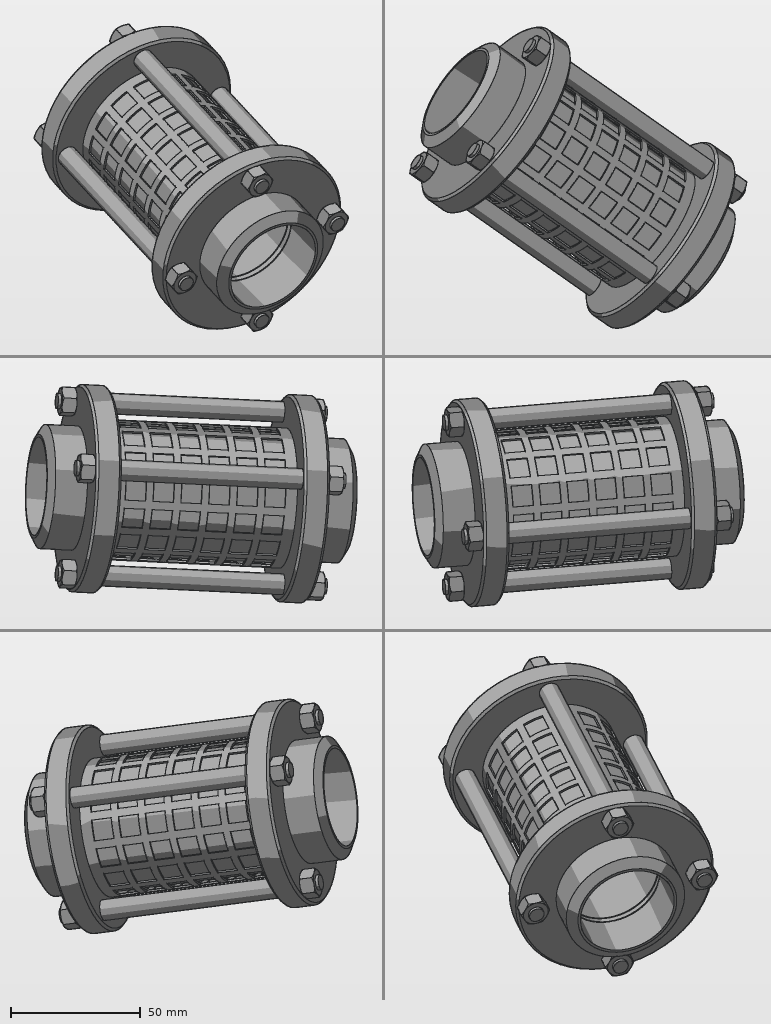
import cadquery as cq
import math

overall_length = 122.0

pipe_diameter = 48.0
pipe_bore = 38.0
pipe_tip_diameter = 40.0
pipe_bevel_length = 2.5

flange_diameter = 80.0
flange_thickness = 10.0
flange_outer_x = 46.0
flange_inner_x = flange_outer_x - flange_thickness
flange_chamfer = 1.0

groove_diameter = 38.7
groove_outer_x = 42.7
groove_inner_x = 40.3

glass_diameter = 50.0
sleeve_bore = 52.5
sleeve_diameter = 54.0
window_size = 8.0
window_columns = 6
window_rows = 15
window_column_pitch = 11.0
window_row_angle = 360 / window_rows
first_row_angle = 0.4

rod_count = 4
rod_circle_radius = 34.0
rod_diameter = 8.0
thread_diameter = 6.0
thread_end_x = 53.0
nut_across_flats = 10.0
nut_height = 5.7
nut_chamfer_angle = 30
nut_across_corners = nut_across_flats / math.cos(math.radians(30))
nut_chamfer_width = (nut_across_corners - nut_across_flats) / 2
nut_chamfer_height = nut_chamfer_width * math.tan(math.radians(nut_chamfer_angle))


def x_cylinder(diameter, x_start, x_end, y=0, z=0):
    """Solid cylinder along X between two X positions."""
    plane = cq.Workplane("YZ", origin=(x_start, y, z))
    return plane.circle(diameter / 2).extrude(x_end - x_start)


def pipe():
    """Solid outline of both pipes, bevelled at the two ends."""
    half_length = overall_length / 2
    bevel_start = half_length - pipe_bevel_length
    outline = [
        (-half_length, 0),
        (-half_length, pipe_tip_diameter / 2),
        (-bevel_start, pipe_diameter / 2),
        (bevel_start, pipe_diameter / 2),
        (half_length, pipe_tip_diameter / 2),
        (half_length, 0),
    ]
    return cq.Workplane("XY").polyline(outline).close().revolve(360, (0, 0, 0), (1, 0, 0))


def flange(x_start):
    """Flange disc with both rims chamfered."""
    disc = x_cylinder(flange_diameter, x_start, x_start + flange_thickness)
    return disc.edges().chamfer(flange_chamfer)


def sleeve():
    """Thin sleeve with a grid of windows cut through its wall."""
    first_column_x = -(window_columns - 1) * window_column_pitch / 2
    window_row = cq.Workplane("XZ")
    for column in range(window_columns):
        window_row = window_row.moveTo(first_column_x + column * window_column_pitch, 0)
        window_row = window_row.rect(window_size, window_size)
    window_row = window_row.extrude(-sleeve_diameter)

    guard = x_cylinder(sleeve_diameter, -flange_inner_x, flange_inner_x)
    guard = guard.cut(x_cylinder(sleeve_bore, -flange_inner_x, flange_inner_x))
    for row in range(window_rows):
        row_angle = first_row_angle + row * window_row_angle
        guard = guard.cut(window_row.rotate((0, 0, 0), (1, 0, 0), row_angle))
    return guard


def nut(x_start, y, z):
    """Hex nut with corners along Y and both faces chamfered at the corners."""
    hexagon = (
        cq.Workplane("YZ", origin=(x_start, y, z))
        .polygon(6, nut_across_corners)
        .extrude(nut_height)
    )
    turned_blank = x_cylinder(nut_across_corners, x_start, x_start + nut_height, y, z)
    turned_blank = turned_blank.edges().chamfer(nut_chamfer_height, nut_chamfer_width)
    return hexagon.intersect(turned_blank)


def tie_rod(y, z):
    """Rod between the flanges with a thread end and a nut on each side."""
    rod = x_cylinder(rod_diameter, -flange_inner_x, flange_inner_x, y, z)
    rod = rod.union(x_cylinder(thread_diameter, -thread_end_x, thread_end_x, y, z))
    rod = rod.union(nut(-flange_outer_x - nut_height, y, z))
    return rod.union(nut(flange_outer_x, y, z))


glass = x_cylinder(glass_diameter, -flange_inner_x, flange_inner_x)
result = pipe().union(glass)
for flange_x in (-flange_outer_x, flange_inner_x):
    result = result.union(flange(flange_x))
result = result.union(sleeve())

for index in range(rod_count):
    angle = index * 2 * math.pi / rod_count
    rod_y = rod_circle_radius * math.cos(angle)
    rod_z = rod_circle_radius * math.sin(angle)
    result = result.union(tie_rod(rod_y, rod_z))

result = result.cut(x_cylinder(pipe_bore, -overall_length / 2, overall_length / 2))
groove_width = groove_outer_x - groove_inner_x
for groove_x in (-groove_outer_x, groove_inner_x):
    result = result.cut(x_cylinder(groove_diameter, groove_x, groove_x + groove_width))